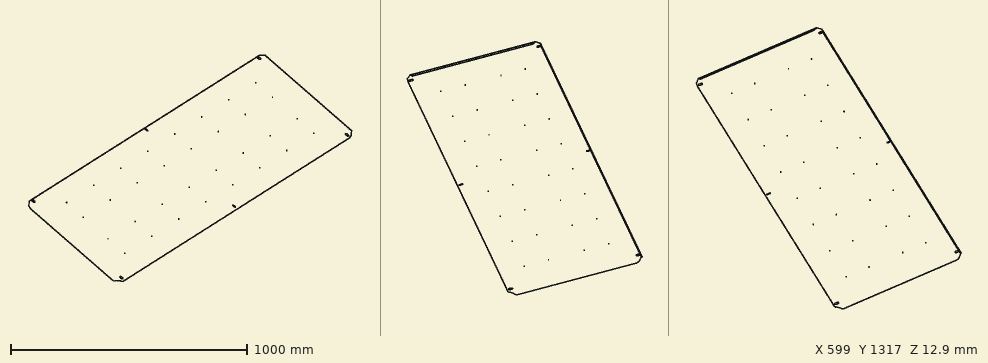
import cadquery as cq

width = 599.0
length = 1317.0
height = 12.9

sheet = 2.0
bend_radius = 2.5

end_flange_start = 17.0
side_flange_start = 17.0
flange_slope = 12.0

slot_length = 17.0
slot_inset = 13.0
corner_slot_width = 8.0
corner_slot_from_end = 32.0
middle_slot_width = 4.0

hole_diameter = 2.0
hole_column_offsets = (80.0, 190.0)
hole_rows = 8
hole_pitch = 150.0


def rounded_block(size_x, size_y, size_z, radius):
    """Block standing on Z = 0 with its four top edges rounded."""
    block = cq.Workplane("XY").box(size_x, size_y, size_z, centered=(True, True, False))
    return block.faces(">Z").edges().fillet(radius)


def folded_sheet():
    """Panel and flanges as one shell, open underneath and still closed at the corners."""
    outside = rounded_block(width, length, height, bend_radius)
    inside = rounded_block(
        width - 2 * sheet, length - 2 * sheet, height - sheet, bend_radius - sheet
    )
    return outside.cut(inside)


def corner_notch():
    """Material removed at the +X +Y corner: bevelled panel corner and square flange ends."""
    half_width = width / 2
    half_length = length / 2
    outline = [
        (half_width, half_length),
        (half_width - end_flange_start, half_length),
        (half_width - end_flange_start, half_length - bend_radius),
        (half_width - bend_radius, half_length - side_flange_start),
        (half_width, half_length - side_flange_start),
    ]
    return cq.Workplane("XY").polyline(outline).close().extrude(height)


def flange_end_wedge(plane, flange_end, outer_face):
    """Sloped cut that shortens a flange towards its lower edge, starting below the bend."""
    outline = [
        (flange_end, 0),
        (flange_end - flange_slope, 0),
        (flange_end, height - bend_radius),
    ]
    wedge = cq.Workplane(plane).polyline(outline).close().extrude(bend_radius)
    if plane == "XZ":
        return wedge.translate((0, outer_face, 0))
    return wedge.translate((outer_face - bend_radius, 0, 0))


def open_corners(part):
    """Cut the notch and both flange slopes at all four corners."""
    end_wedge = flange_end_wedge("XZ", width / 2 - end_flange_start, length / 2)
    side_wedge = flange_end_wedge("YZ", length / 2 - side_flange_start, width / 2)
    for cutter in (corner_notch(), end_wedge, side_wedge):
        both_sides = cutter.union(cutter.mirror("YZ"))
        part = part.cut(both_sides).cut(both_sides.mirror("XZ"))
    return part


def slots(centres, slot_width):
    """Slots through the panel, running along X."""
    return cq.Workplane("XY").pushPoints(centres).slot2D(slot_length, slot_width).extrude(height)


def hole_grid():
    """Small round holes in four columns along Y."""
    columns = [side * offset for side in (-1, 1) for offset in hole_column_offsets]
    rows = [(row - (hole_rows - 1) / 2) * hole_pitch for row in range(hole_rows)]
    centres = [(x, y) for x in columns for y in rows]
    return cq.Workplane("XY").pushPoints(centres).circle(hole_diameter / 2).extrude(height)


slot_x = width / 2 - slot_inset
corner_slot_y = length / 2 - corner_slot_from_end
corner_slot_centres = [(x, y) for x in (-slot_x, slot_x) for y in (-corner_slot_y, corner_slot_y)]
middle_slot_centres = [(-slot_x, 0), (slot_x, 0)]

result = open_corners(folded_sheet())
result = result.cut(slots(corner_slot_centres, corner_slot_width))
result = result.cut(slots(middle_slot_centres, middle_slot_width))
result = result.cut(hole_grid())